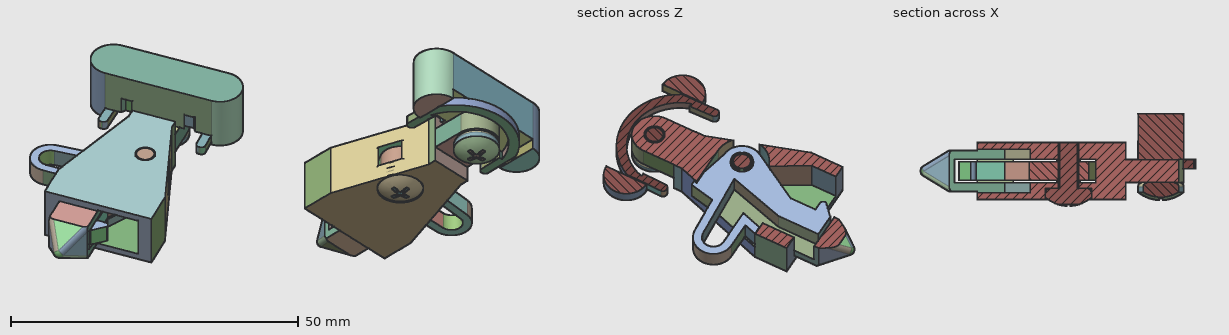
import cadquery as cq
import math


body_width = 20.0
body_height = 9.95
mid_z = body_height / 2
body_depth = 25.88
taper_start_y = 6.3
taper_end_y = 24.25
neck_width = 8.1
tongue_width = 8.0
tongue_height = 4.0
slot_height = tongue_height

prong_width = 7.17
prong_right_x = -0.1
prong_left_x = prong_right_x - prong_width
prong_shank = 4.9
prong_length = 9.8
tip_radius = 1.0

cavity_width = 7.6
cavity_left_x = prong_right_x
cavity_height = 7.5
cavity_straight_depth = 4.8
cavity_wall_angle = 30

pivot_x = 2.45
pivot_y = 15.9
pocket_radius = 4.75
passage_right_x = 3.85
prong_slot_front_y = -3.9

shank_diameter = 3.1
clearance_diameter = 3.5
shank_length = 8.0
head_diameter = 8.0
head_side_height = 1.67
head_dome_height = 1.45
head_edge_radius = 0.7
drive_slot_width = 0.6
drive_slot_length = 4.3
drive_slot_depth = 0.3
pivot_seat_z = body_height - shank_length
grip_seat_z = mid_z - tongue_height / 2

grip_length = 28.0
grip_depth = 8.05
grip_height = 10.0
grip_y = 31.95
grip_bottom_z = mid_z
channel_top_z = mid_z + tongue_height / 2
channel_width = grip_length - grip_depth
window_width = 2.0
window_height = 3.15
window_depth = 0.75
window_inner_x = 4.95
window_angle = 35

clip_thickness = 1.65
clip_outer_radius = 11.1
clip_inner_radius = 9.25
clip_back_y = 38.0
clip_leg_width = 1.67
clip_leg_x = 9.05
clip_leg_tip_x = 9.2
clip_leg_tip_y = 24.35
clip_leg_corner_radius = 0.7

latch_height = 3.25
hub_radius = 3.55
collar_diameter = 4.0
arm_left_x = -4.45
arm_right_x = prong_right_x
arm_front_y = -3.2
hook_back_y = -0.2
hook_flat_x = 1.45
hook_tip_x = 2.1
hook_tip_y = -1.1
hook_slope_end_y = -3.1
tail_back_y = 21.2
tail_back_x = -6.05
tail_side_x = -7.1
tail_side_y = 16.4
tail_front_y = 15.8
loop_x = -13.9
loop_y = 12.4
loop_outer_radius = 3.6
loop_inner_radius = 2.0
loop_arm_angle = 4.2
foot_front_y = 6.45
foot_inset = 0.2


def slab(outline, height, center_z=mid_z):
    """Extrude a closed XY outline by a height, centred on a level."""
    return outline.extrude(height).translate((0, 0, center_z - height / 2))


def polygon_slab(points, height, center_z=mid_z):
    return slab(cq.Workplane("XY").polyline(points).close(), height, center_z)


def cylinder(x, y, bottom_z, diameter, height):
    return cq.Workplane("XY", origin=(x, y, bottom_z)).circle(diameter / 2).extrude(height)


def box(x_range, y_range, z_range):
    size = [high - low for low, high in (x_range, y_range, z_range)]
    corner = (x_range[0], y_range[0], z_range[0])
    return cq.Workplane("XY").box(*size, centered=False).translate(corner)


def slot_box(x_range, y_range):
    return box(x_range, y_range, (mid_z - slot_height / 2, mid_z + slot_height / 2))


def body_left_x(y):
    """X of the left tapered side of the housing."""
    slope = (body_width - neck_width) / 2 / (taper_end_y - taper_start_y)
    return -body_width / 2 + slope * (y - taper_start_y)


def screw(x, y, seat_z):
    """Round-headed screw pointing up, its head hanging below the seat."""
    rim_z = -head_side_height
    head_radius = head_diameter / 2
    dome_radius = (head_radius**2 + head_dome_height**2) / (2 * head_dome_height)
    tip_z = rim_z - head_dome_height
    mid_r = head_radius / 2
    mid_dome_z = tip_z + dome_radius - math.sqrt(dome_radius**2 - mid_r**2)
    solid = (
        cq.Workplane("XZ")
        .moveTo(0, shank_length)
        .lineTo(shank_diameter / 2, shank_length)
        .lineTo(shank_diameter / 2, 0)
        .lineTo(head_radius - head_edge_radius, 0)
        .radiusArc((head_radius, -head_edge_radius), head_edge_radius)
        .lineTo(head_radius, rim_z)
        .threePointArc((mid_r, mid_dome_z), (0, tip_z))
        .close()
        .revolve(360, (0, 0, 0), (0, 1, 0))
    )
    drive_slot = cq.Workplane("XY").box(drive_slot_length, drive_slot_width, 2 * drive_slot_depth)
    for angle in (0, 90):
        turned = drive_slot.rotate((0, 0, 0), (0, 0, 1), angle)
        solid = solid.cut(turned.translate((0, 0, tip_z)))
    return solid.translate((x, y, seat_z))


def make_prong():
    """Square prong with a pyramid point whose edges and tip are rounded."""
    half = prong_width / 2
    corners = [cq.Vector(x * half, 0, z * half) for x, z in ((-1, -1), (1, -1), (1, 1), (-1, 1))]
    apex = cq.Vector(0, prong_shank - prong_length - tip_radius, 0)
    outlines = [corners]
    for i, corner in enumerate(corners):
        outlines.append([corner, corners[i - 1], apex])
    faces = [cq.Face.makeFromWires(cq.Wire.makePolygon(points, close=True)) for points in outlines]
    point = cq.Workplane(cq.Solid.makeSolid(cq.Shell.makeShell(faces)))
    shank = cq.Workplane("XZ").rect(prong_width, prong_width).extrude(-prong_shank)
    slanted_edges = "not (#X or #Y or #Z)"
    prong = shank.union(point).edges(slanted_edges).fillet(tip_radius)
    return prong.translate((prong_left_x + half, -prong_shank, mid_z))


def make_housing():
    half = body_width / 2
    neck = neck_width / 2
    outline = [
        (-half, 0),
        (half, 0),
        (half, taper_start_y),
        (neck, taper_end_y),
        (neck, body_depth),
        (-neck, body_depth),
        (-neck, taper_end_y),
        (-half, taper_start_y),
    ]
    body = polygon_slab(outline, body_height)

    tongue = slot_box((-tongue_width / 2, tongue_width / 2), (body_depth, grip_y))
    tongue_end = cylinder(0, grip_y, grip_seat_z, tongue_width, tongue_height)
    body = body.union(tongue).union(tongue_end).union(make_prong())

    cavity_apex_y = cavity_straight_depth + cavity_width / 2 / math.tan(math.radians(cavity_wall_angle))
    cavity_right_x = cavity_left_x + cavity_width
    cavity = [
        (cavity_left_x, 0),
        (cavity_right_x, 0),
        (cavity_right_x, cavity_straight_depth),
        (cavity_left_x + cavity_width / 2, cavity_apex_y),
        (cavity_left_x, cavity_straight_depth),
    ]
    body = body.cut(polygon_slab(cavity, cavity_height))

    pocket = cylinder(pivot_x, pivot_y, mid_z - slot_height / 2, 2 * pocket_radius, slot_height)
    side_slot = slot_box((-body_width, pivot_x), (taper_start_y, pivot_y + pocket_radius))
    passage = slot_box((prong_left_x, passage_right_x), (0, pivot_y))
    prong_slot = slot_box((prong_left_x, prong_right_x), (prong_slot_front_y, 0))
    for space in (pocket, side_slot, passage, prong_slot):
        body = body.cut(space)

    pivot_hole = cylinder(pivot_x, pivot_y, 0, clearance_diameter, body_height)
    tongue_hole = cylinder(0, grip_y, grip_seat_z, clearance_diameter, tongue_height)
    head_recess = cylinder(pivot_x, pivot_y, 0, head_diameter, pivot_seat_z)
    return body.cut(pivot_hole).cut(tongue_hole).cut(head_recess)


def make_grip():
    grip = (
        cq.Workplane("XY", origin=(0, grip_y, grip_bottom_z))
        .slot2D(grip_length, grip_depth)
        .extrude(grip_height)
    )
    front_y = grip_y - grip_depth / 2
    back_y = grip_y + grip_depth / 2
    half = channel_width / 2
    grip = grip.cut(box((-half, half), (front_y, back_y), (grip_bottom_z, channel_top_z)))
    shift = window_depth * math.tan(math.radians(window_angle))
    for side in (-1, 1):
        inner = side * window_inner_x
        outer = side * (window_inner_x + window_width)
        window = [
            (inner, front_y),
            (outer, front_y),
            (outer - side * shift, front_y + window_depth),
            (inner - side * shift, front_y + window_depth),
        ]
        grip = grip.cut(polygon_slab(window, window_height, channel_top_z + window_height / 2))
    return grip.cut(cylinder(0, grip_y, grip_seat_z, shank_diameter, shank_length))


def make_clip():
    """Bowed band behind the tongue with a leg on each side of it."""
    bow_y = clip_back_y - clip_outer_radius
    bottom_z = channel_top_z - clip_thickness
    ring = (
        cq.Workplane("XY", origin=(0, bow_y, bottom_z))
        .circle(clip_outer_radius)
        .circle(clip_inner_radius)
        .extrude(clip_thickness)
    )
    half_leg = clip_leg_width / 2
    leg_top_y = bow_y + math.sqrt(clip_inner_radius**2 - clip_leg_x**2)
    half = clip_leg_x + half_leg
    clip = ring.intersect(box((-half, half), (leg_top_y, clip_back_y), (bottom_z, channel_top_z)))
    for side in (-1, 1):
        leg = [
            (side * (clip_leg_x - half_leg), leg_top_y + half_leg),
            (side * (clip_leg_x + half_leg), leg_top_y + half_leg),
            (side * (clip_leg_tip_x + half_leg), clip_leg_tip_y),
            (side * (clip_leg_tip_x - half_leg), clip_leg_tip_y),
        ]
        leg = polygon_slab(leg, clip_thickness, bottom_z + clip_thickness / 2)
        tip_corners = leg.faces("<Y").edges("|Z")
        clip = clip.union(tip_corners.fillet(clip_leg_corner_radius))
    return clip


def make_spring():
    """Strip that leaves the tail, loops outside the housing and ends in a foot inside the slot."""
    slope = math.radians(loop_arm_angle)
    end_x = pivot_x - hub_radius

    def outline(radius):
        start_x = loop_x - radius * math.sin(slope)
        start_y = loop_y + radius * math.cos(slope)
        end_y = start_y + (end_x - start_x) * math.tan(slope)
        return (
            cq.Workplane("XY")
            .moveTo(end_x, end_y)
            .lineTo(start_x, start_y)
            .threePointArc((loop_x - radius, loop_y), (loop_x, loop_y - radius))
            .lineTo(end_x, loop_y - radius)
            .close()
        )

    strip = slab(outline(loop_outer_radius), latch_height).cut(slab(outline(loop_inner_radius), latch_height))
    thickness = loop_outer_radius - loop_inner_radius
    foot_back_y = loop_y - loop_inner_radius
    front_x = body_left_x(foot_front_y) + foot_inset
    back_x = body_left_x(foot_back_y) + foot_inset
    foot = [
        (front_x, foot_front_y),
        (front_x + thickness, foot_front_y),
        (back_x + thickness, foot_back_y),
        (back_x, foot_back_y),
    ]
    beyond_foot = [
        (front_x + thickness, foot_front_y),
        (pivot_x, foot_front_y),
        (pivot_x, foot_back_y),
        (back_x + thickness, foot_back_y),
    ]
    return strip.cut(polygon_slab(beyond_foot, latch_height)).union(polygon_slab(foot, latch_height))


def make_latch(surrounding_housing):
    """Pivoting lever with a hooked arm, a tail and a looped spring."""
    hub = cylinder(pivot_x, pivot_y, mid_z - latch_height / 2, 2 * hub_radius, latch_height)
    collar = cylinder(pivot_x, pivot_y, mid_z - slot_height / 2, collar_diameter, slot_height)

    wall = math.radians(cavity_wall_angle)
    arm = [
        (pivot_x + hub_radius * math.cos(wall), pivot_y - hub_radius * math.sin(wall)),
        (arm_right_x, cavity_straight_depth),
        (arm_right_x, arm_front_y),
        (arm_left_x, arm_front_y),
        (arm_left_x, cavity_straight_depth),
        (pivot_x - hub_radius, pivot_y),
    ]
    hook = (
        cq.Workplane("XY")
        .moveTo(arm_right_x, hook_back_y)
        .lineTo(hook_flat_x, hook_back_y)
        .tangentArcPoint((hook_tip_x, hook_tip_y), relative=False)
        .lineTo(arm_right_x, hook_slope_end_y)
        .close()
    )
    hook = slab(hook, latch_height)
    tail = [
        (tail_back_x, tail_back_y),
        (tail_side_x, tail_side_y),
        (tail_side_x, tail_front_y),
        (pivot_x, tail_front_y),
        (pivot_x, pivot_y + hub_radius),
        (body_left_x(tail_back_y), tail_back_y),
    ]
    latch = hub.union(collar).union(hook)
    for outline in (arm, tail):
        latch = latch.union(polygon_slab(outline, latch_height))
    latch = latch.union(make_spring())
    latch = latch.cut(cylinder(pivot_x, pivot_y, 0, clearance_diameter, body_height))
    return latch.cut(surrounding_housing)


housing = make_housing()
grip = make_grip()
clip = make_clip()
latch = make_latch(housing)
screw_places = [(pivot_x, pivot_y, pivot_seat_z), (0, grip_y, grip_seat_z)]
screws = [screw(*place) for place in screw_places]

result = cq.Compound.makeCompound(
    [housing.val(), grip.val(), clip.val(), latch.val(), *[each.val() for each in screws]]
)